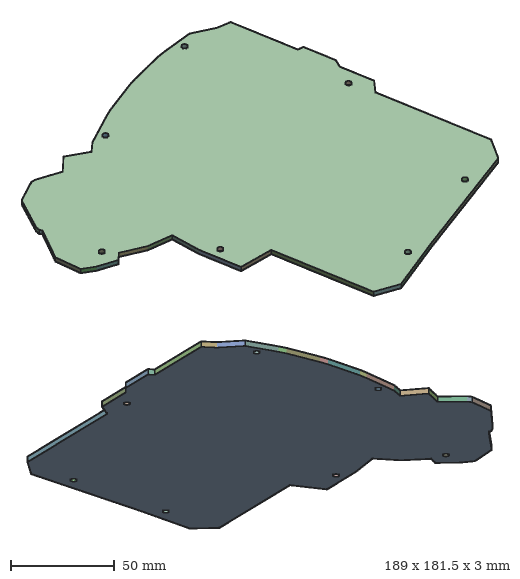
import cadquery as cq

length = 189.0
width = 181.5
thickness = 3.0
hole_diameter = 3.0

shoulder_y = 178.6
right_top_y = 172.2
right_bottom_y = 56.1
lower_edge_y = 39.1
chamfer_x = 180.0
waist_depth = 0.5

bow_corners = [
    (12.9, 76.2),
    (10.2, 94.9),
    (9.8, 99.0),
    (9.8, 118.5),
    (10.2, 123.0),
    (12.7, 141.5),
    (13.6, 145.5),
    (18.3, 162.2),
]

top_corners = [
    (28.0, 172.0),
    (32.0, shoulder_y),
    (69.2, shoulder_y),
    (70.7, width),
    (88.6, width),
    (92.5, shoulder_y),
    (111.5, shoulder_y),
    (115.9, right_top_y),
    (chamfer_x, right_top_y),
]
right_corners = [
    (length, 163.1),
    (length - waist_depth, 98.3),
    (length, 67.1),
    (chamfer_x, right_bottom_y),
    (123.2, right_bottom_y),
    (116.0, lower_edge_y),
    (92.8, lower_edge_y),
    (76.7, 41.2),
]
lobe_corners = [
    (70.0, 29.1),
    (60.0, 18.3),
    (62.2, 14.2),
    (55.0, 5.1),
    (49.1, 0.0),
    (34.8, 0.8),
    (20.5, 13.5),
    (18.9, 12.9),
    (16.6, 13.8),
    (1.9, 25.9),
    (0.0, 38.7),
    (1.0, 41.0),
    (9.8, 52.2),
    (5.3, 61.0),
    (15.5, 70.5),
]

hole_centers = [
    (20.5, 153.7),
    (101.5, 171.0),
    (181.8, 142.9),
    (181.5, 87.3),
    (101.5, 44.6),
    (52.4, 15.1),
    (16.0, 83.4),
]


def make_plate():
    """Flat plate bounded by straight edges."""
    corners = bow_corners + top_corners + right_corners + lobe_corners
    return cq.Workplane("XY").polyline(corners).close().extrude(thickness)


def make_holes():
    """Cylinders for the mounting holes through the plate."""
    return cq.Workplane("XY").pushPoints(hole_centers).circle(hole_diameter / 2).extrude(thickness)


result = make_plate().cut(make_holes())